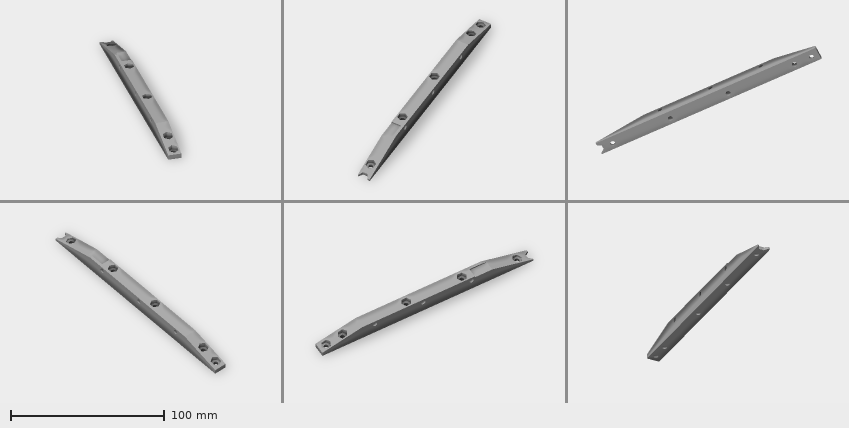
import cadquery as cq

length = 159.5
width = 9.0
height = 11.0
left_end_height = 1.5
right_end_height = 3.2
left_ramp_end = 34.8
right_ramp_start = 129.4

hole_diameter = 3.2
row_y = 0.5
nut_flats = 6.0
flats_facing_x = 0
flats_facing_y = 30

end_nut_depth = 2.0
inner_nut_depth = 2.9
end_nuts = [10.0, 154.4]
inner_nuts = [51.8, 93.8, 142.0]

notch_x = -0.2

cross_hole_middle_x = 83.3
cross_hole_spacing = 36.5
cross_hole_z = 8.0

recess_end_x = 44.3
recess_depth = 1.0
recess_front_wall = 1.9

left_slope = (height - left_end_height) / left_ramp_end
right_slope = (height - right_end_height) / (length - right_ramp_start)


def make_bar():
    outline = [
        (0, 0),
        (length, 0),
        (length, right_end_height),
        (right_ramp_start, height),
        (left_ramp_end, height),
        (0, left_end_height),
    ]
    return cq.Workplane("XZ").polyline(outline).close().extrude(width / 2, both=True)


def hex_prism(x, bottom_z, rotation):
    """Upright hexagonal prism on the hole row, reaching the top of the bar."""
    return (
        cq.Workplane("XY")
        .polygon(6, nut_flats, circumscribed=True)
        .extrude(height - bottom_z)
        .rotate((0, 0, 0), (0, 0, 1), rotation)
        .translate((x, row_y, bottom_z))
    )


def top_surface_z(x):
    """Height of the upper surface at position x."""
    left_ramp_z = left_end_height + left_slope * x
    right_ramp_z = right_end_height + right_slope * (length - x)
    return min(height, left_ramp_z, right_ramp_z)


def cut_nut_and_screw(body, x, depth):
    pocket = hex_prism(x, top_surface_z(x) - depth, flats_facing_y)
    screw_hole = (
        cq.Workplane("XY").center(x, row_y).circle(hole_diameter / 2).extrude(height)
    )
    return body.cut(pocket).cut(screw_hole)


def make_recess():
    front_y = recess_front_wall - width / 2
    return cq.Workplane("XY").box(
        recess_end_x, width / 2 - front_y, recess_depth, centered=False
    ).translate((0, front_y, height - recess_depth))


def make_cross_holes():
    centres = [(cross_hole_middle_x + i * cross_hole_spacing, cross_hole_z) for i in (-1, 0, 1)]
    return (
        cq.Workplane("XZ")
        .pushPoints(centres)
        .circle(hole_diameter / 2)
        .extrude(width / 2, both=True)
    )


result = make_bar().cut(make_recess()).cut(make_cross_holes())
for nut_x in end_nuts:
    result = cut_nut_and_screw(result, nut_x, end_nut_depth)
for nut_x in inner_nuts:
    result = cut_nut_and_screw(result, nut_x, inner_nut_depth)

result = result.cut(hex_prism(notch_x, 0, flats_facing_x))